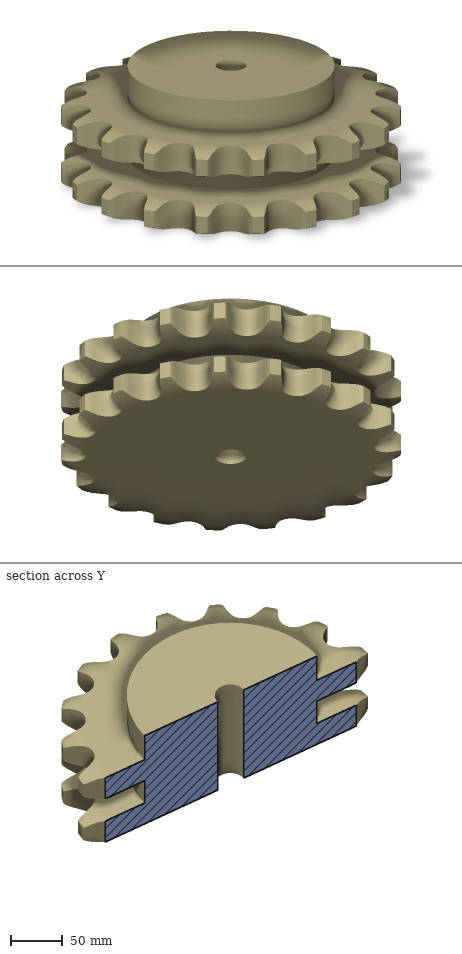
import cadquery as cq
import math

tooth_count = 19
pitch_diameter = 308.5
tip_diameter = 329.0
roller_diameter = 29.3

row_width = 29.0
row_spacing = 58.5
face_diameter = 281.0
side_radius = 50.5

hub_diameter = 200.0
bore_diameter = 30.0
total_height = 120.0

tooth_angle = 360 / tooth_count
pitch_radius = pitch_diameter / 2
tip_radius = tip_diameter / 2
face_radius = face_diameter / 2
outside_radius = 1.2 * tip_radius

seat_radius = 0.5025 * roller_diameter
working_offset = 0.8 * roller_diameter
topping_offset = 1.4 * roller_diameter
seat_end_angle = 35 + 60 / tooth_count
working_sweep = 18 - 56 / tooth_count
working_radius = seat_radius + working_offset


def polar(center, radius, degrees):
    """Point at a radius and direction from a center."""
    angle = math.radians(degrees)
    return (center[0] + radius * math.cos(angle), center[1] + radius * math.sin(angle))


def mirrored(point):
    return (-point[0], point[1])


def tooth_gap():
    """Cutter for the gap between two teeth, centred on +Y, as tall as one row."""
    roller = (0, pitch_radius)
    working_center = polar(roller, working_offset, 180 - seat_end_angle)
    topping_center = polar(roller, topping_offset, -tooth_angle / 2)

    flank_angle = working_sweep - seat_end_angle
    flank_normal = polar((0, 0), 1, flank_angle)
    center_gap = (
        (topping_center[0] - working_center[0]) * flank_normal[0]
        + (topping_center[1] - working_center[1]) * flank_normal[1]
    )
    topping_radius = center_gap - working_radius

    seat_bottom = (0, pitch_radius - seat_radius)
    seat_end = polar(roller, seat_radius, -seat_end_angle)
    working_middle = polar(working_center, working_radius, working_sweep / 2 - seat_end_angle)
    working_end = polar(working_center, working_radius, flank_angle)
    topping_start = polar(topping_center, topping_radius, 180 + flank_angle)

    center_distance = math.hypot(*topping_center)
    inward_angle = math.degrees(math.atan2(-topping_center[1], -topping_center[0]))
    cosine = (topping_radius**2 + center_distance**2 - tip_radius**2) / (2 * topping_radius * center_distance)
    tip_angle = (inward_angle - math.degrees(math.acos(cosine))) % 360
    topping_middle = polar(topping_center, topping_radius, (180 + flank_angle + tip_angle) / 2)
    tip_corner = polar(topping_center, topping_radius, tip_angle)
    tip_direction = math.degrees(math.atan2(tip_corner[1], tip_corner[0]))
    outside = polar((0, 0), outside_radius, tip_direction)

    return (
        cq.Workplane("XY")
        .moveTo(*outside)
        .lineTo(*tip_corner)
        .threePointArc(topping_middle, topping_start)
        .lineTo(*working_end)
        .threePointArc(working_middle, seat_end)
        .threePointArc(seat_bottom, mirrored(seat_end))
        .threePointArc(mirrored(working_middle), mirrored(working_end))
        .lineTo(*mirrored(topping_start))
        .threePointArc(mirrored(topping_middle), mirrored(tip_corner))
        .lineTo(*mirrored(outside))
        .close()
        .extrude(row_width)
    )


def toothed_row():
    """Disc with rounded sides near the rim, cut into teeth, standing on Z = 0."""
    rim_depth = tip_radius - face_radius
    half_depth = rim_depth / 2
    tip_drop = side_radius - math.sqrt(side_radius**2 - rim_depth**2)
    middle_drop = side_radius - math.sqrt(side_radius**2 - half_depth**2)
    middle_radius = face_radius + half_depth
    disc = (
        cq.Workplane("XZ")
        .lineTo(face_radius, 0)
        .threePointArc((middle_radius, middle_drop), (tip_radius, tip_drop))
        .lineTo(tip_radius, row_width - tip_drop)
        .threePointArc((middle_radius, row_width - middle_drop), (face_radius, row_width))
        .lineTo(0, row_width)
        .close()
        .revolve(360, (0, 0, 0), (0, 1, 0))
    )
    gap = tooth_gap()
    for index in range(tooth_count):
        disc = disc.cut(gap.rotate((0, 0, 0), (0, 0, 1), index * tooth_angle))
    return disc


row = toothed_row()
hub = cq.Workplane("XY").circle(hub_diameter / 2).extrude(total_height)
bore = cq.Workplane("XY").circle(bore_diameter / 2).extrude(total_height)

result = hub.union(row).union(row.translate((0, 0, row_spacing))).cut(bore)